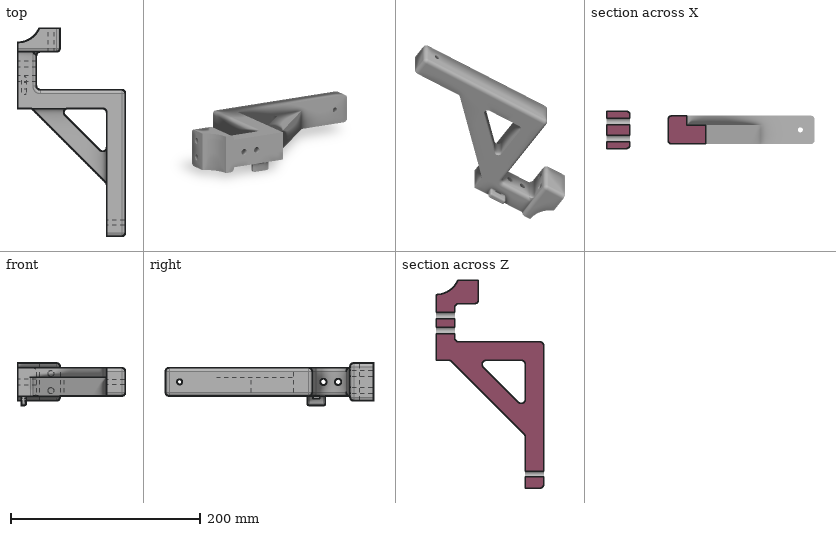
import cadquery as cq
import math

total_x = 114.0
total_y = 220.0
bar_width = 20.0
bar_height = 30.0
edge_radius = 4.0

cross_arm_y_max = 155.0
cross_arm_y_min = cross_arm_y_max - bar_width
long_arm_x_min = total_x - bar_width

head_length_x = 45.0
head_depth_y = 25.0
head_overhang_z = 5.0
head_y_min = total_y - head_depth_y
neck_radius = edge_radius

seat_radius = 25.0
seat_bottom_y = 205.0

brace_leg = 79.0
brace_width = 20.0
brace_height = 20.0

mount_hole_diameter = 6.4
mount_hole_ys = (167.0, 182.5)
end_hole_diameter = 5.3
end_hole_y = 15.0
head_hole_diameter = 6.4
head_hole_x = 35.0
head_hole_spacing_z = 18.0

tab_x_min = 4.0
tab_thickness = 5.0
tab_y_min = 150.0
tab_length = 19.0
tab_drop = 10.0
tab_radius = 2.0
tab_slot_length = 7.0
tab_slot_depth = 2.5

mid_z = bar_height / 2


def box(x_min, x_max, y_min, y_max, z_min, z_max):
    """Axis-aligned block between the given limits."""
    size = (x_max - x_min, y_max - y_min, z_max - z_min)
    return cq.Workplane("XY").box(*size, centered=False).translate((x_min, y_min, z_min))


def hole_along_x(diameter, x_min, y, z):
    """Cylinder that crosses one bar width in the X direction."""
    drill = cq.Solid.makeCylinder(diameter / 2, bar_width, cq.Vector(x_min, y, z), cq.Vector(1, 0, 0))
    return cq.Workplane(obj=drill)


def make_frame():
    """Column, cross arm and long arm, rounded along the outer side of the chain."""
    outline = [
        (0, cross_arm_y_min),
        (long_arm_x_min, cross_arm_y_min),
        (long_arm_x_min, 0),
        (total_x, 0),
        (total_x, cross_arm_y_max),
        (bar_width, cross_arm_y_max),
        (bar_width, total_y),
        (0, total_y),
    ]
    frame = cq.Workplane("XY").polyline(outline).close().extrude(bar_height)
    rounded_corners = [
        (long_arm_x_min, cross_arm_y_min),
        (total_x, 0),
        (total_x, cross_arm_y_max),
        (bar_width, cross_arm_y_max),
    ]
    for x, y in rounded_corners:
        corner = cq.selectors.NearestToPointSelector((x, y, mid_z))
        frame = frame.edges("|Z").edges(corner).fillet(edge_radius)
    for z in (0, bar_height):
        start = cq.selectors.NearestToPointSelector((total_x, total_y / 4, z))
        frame = frame.edges(start).fillet(edge_radius)
    return frame.cut(box(0, bar_width, head_y_min, total_y, 0, bar_height))


def make_head():
    """Clamp head with rounded inner and outer faces and a cylindrical seat."""
    z_min = -head_overhang_z
    z_max = bar_height + head_overhang_z
    head = box(0, head_length_x, head_y_min, total_y, z_min, z_max)
    head = head.edges("|Z and >X and <Y").fillet(edge_radius)
    for z in (z_min, z_max):
        start = cq.selectors.NearestToPointSelector((head_length_x / 2, head_y_min, z))
        head = head.edges(start).fillet(edge_radius)
    seat = (
        cq.Workplane("XY", origin=(0, seat_bottom_y + seat_radius, z_min))
        .circle(seat_radius)
        .extrude(z_max - z_min)
    )
    return head.cut(seat)


def make_brace():
    """Diagonal strut with rounded roots, set into the corner of the two arms."""
    left = long_arm_x_min - brace_leg
    bottom = cross_arm_y_min - brace_leg
    outer_corner = (long_arm_x_min, cross_arm_y_min)
    inner_leg = brace_leg - brace_width * math.sqrt(2)
    strut = (
        cq.Workplane("XY")
        .polyline([outer_corner, (left, cross_arm_y_min), (long_arm_x_min, bottom)])
        .close()
        .extrude(brace_height)
    )
    window = (
        cq.Workplane("XY")
        .polyline([
            outer_corner,
            (long_arm_x_min - inner_leg, cross_arm_y_min),
            (long_arm_x_min, cross_arm_y_min - inner_leg),
        ])
        .close()
        .extrude(brace_height)
        .edges("|Z")
        .fillet(edge_radius)
    )
    return strut.cut(window)


def round_brace_roots(body):
    """Fillet the outer corners where the strut meets the two arms."""
    roots = [
        (long_arm_x_min - brace_leg, cross_arm_y_min),
        (long_arm_x_min, cross_arm_y_min - brace_leg),
    ]
    for x, y in roots:
        root = cq.selectors.NearestToPointSelector((x, y, brace_height / 2))
        body = body.edges("|Z").edges(root).fillet(edge_radius)
    return body


def make_neck_fillet():
    """Concave fillet between the column and the head, mitred with the rounded column edges."""
    neck_x_max = bar_width + neck_radius
    neck_y_min = head_y_min - neck_radius
    neck = box(bar_width - edge_radius, neck_x_max, neck_y_min, total_y, 0, bar_height)
    neck = neck.edges("|X and <Y").fillet(edge_radius)
    neck = neck.cut(box(0, total_x, head_y_min, total_y, 0, bar_height))
    hollow = cq.Workplane("XY", origin=(neck_x_max, neck_y_min, 0)).circle(neck_radius).extrude(bar_height)
    return neck.cut(hollow)


def make_tab():
    """Slotted tab with rounded lower corners and a rounded inner face."""
    tab_x_max = tab_x_min + tab_thickness
    tab_y_max = tab_y_min + tab_length
    tab = box(tab_x_min, tab_x_max, tab_y_min, tab_y_max, -tab_drop, 0)
    tab = tab.edges("|X and <Z").fillet(tab_radius)
    start = cq.selectors.NearestToPointSelector((tab_x_max, tab_y_min + tab_length / 2, -tab_drop))
    tab = tab.edges(start).fillet(tab_radius)
    slot_y_min = tab_y_min + (tab_length - tab_slot_length) / 2
    slot = box(tab_x_min, tab_x_max, slot_y_min, slot_y_min + tab_slot_length, -tab_slot_depth, 0)
    return tab.cut(slot)


def drill_holes(body):
    """Cross holes in the column and long arm, and a pair through the head."""
    for y in mount_hole_ys:
        body = body.cut(hole_along_x(mount_hole_diameter, 0, y, mid_z))
    body = body.cut(hole_along_x(end_hole_diameter, long_arm_x_min, end_hole_y, mid_z))
    for side in (-1, 1):
        start = cq.Vector(head_hole_x, head_y_min, mid_z + side * head_hole_spacing_z / 2)
        drill = cq.Solid.makeCylinder(head_hole_diameter / 2, head_depth_y, start, cq.Vector(0, 1, 0))
        body = body.cut(cq.Workplane(obj=drill))
    return body


frame_and_brace = round_brace_roots(make_frame().union(make_brace()))
bracket = frame_and_brace.union(make_head()).union(make_neck_fillet())
result = drill_holes(bracket.union(make_tab()))